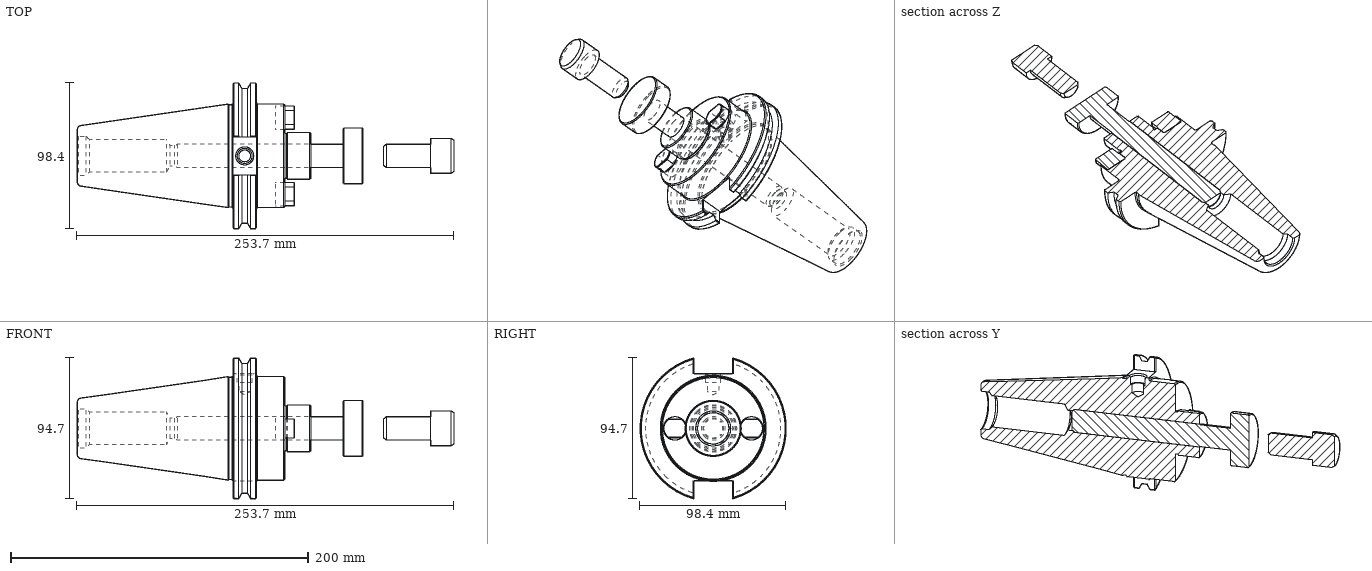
import cadquery as cq
import math


GAUGE_DIAMETER = 69.85
TAPER_RATIO = 7 / 24
TAPER_LENGTH = 101.6
SMALL_END_DIAMETER = GAUGE_DIAMETER - TAPER_LENGTH * TAPER_RATIO
SMALL_END_FILLET = 3.0

NECK_LENGTH = 3.175
NECK_RELIEF = 0.4
FLANGE_FILLET = 0.75

FLANGE_DIAMETER = 98.43
FLANGE_WIDTH = 15.875
FLANGE_START = TAPER_LENGTH + NECK_LENGTH
FLANGE_END = FLANGE_START + FLANGE_WIDTH
FLANGE_MIDDLE = FLANGE_START + FLANGE_WIDTH / 2
FLANGE_CHAMFER = 0.8
GROOVE_DEPTH = 3.7
GROOVE_FLOOR_WIDTH = 3.8
GROOVE_HALF_ANGLE = math.radians(30)
GROOVE_MOUTH_WIDTH = GROOVE_FLOOR_WIDTH + 2 * GROOVE_DEPTH * math.tan(GROOVE_HALF_ANGLE)

SLOT_WIDTH = 25.7
UPPER_SLOT_FLOOR = 36.9
LOWER_SLOT_FLOOR = 35.3
SLOT_CHAMFER = 0.65

SIDE_HOLE_MOUTH_DIAMETER = 12.18
SIDE_HOLE_DIAMETER = 10.13
SIDE_HOLE_DEPTH = 6.0
SIDE_DRILL_DIAMETER = 7.92
SIDE_DRILL_DEPTH = 12.0
DRILL_POINT_HALF_ANGLE = math.radians(59)

NOSE_DIAMETER = GAUGE_DIAMETER
NOSE_FACE = 139.7
NOSE_CHAMFER = 0.75
PILOT_DIAMETER = 31.75
PILOT_LENGTH = 17.46
PILOT_END = NOSE_FACE + PILOT_LENGTH
PILOT_CHAMFER = 0.75
UNDERCUT_DIAMETER = 30.22
UNDERCUT_WIDTH = 1.2

BORE_MOUTH_DIAMETER = 28.2
COUNTERBORE_DIAMETER = 26.36
COUNTERBORE_DEPTH = 6.0
BORE_DIAMETER = 21.97
BORE_DEPTH = 60.0
PASSAGE_DIAMETER = 13.8
PASSAGE_LENGTH = 3.0
PASSAGE_START = BORE_DEPTH + (BORE_DIAMETER - PASSAGE_DIAMETER) / 2 / math.tan(DRILL_POINT_HALF_ANGLE)
LOCK_SCREW_START = PASSAGE_START + PASSAGE_LENGTH

SHANK_DIAMETER = 15.88
TIP_DIAMETER = 12.83
TIP_LENGTH = 2.0

LOCK_HEAD_DIAMETER = 37.8
LOCK_HEAD_START = 178.9
LOCK_HEAD_END = 192.4
LOCK_HEAD_CHAMFER = 0.7

CAP_SCREW_END = 253.67
CAP_HEAD_DIAMETER = 23.62
CAP_HEAD_LENGTH = 15.88
CAP_HEAD_START = CAP_SCREW_END - CAP_HEAD_LENGTH
CAP_SHANK_LENGTH = 31.75
CAP_HEAD_CHAMFER_LENGTH = 2.0
CAP_HEAD_END_DIAMETER = 21.0

KEY_DIAMETER = 15.75
KEY_FLAT_WIDTH = 12.69
KEY_HEIGHT = 6.6
KEY_SEAT_DEPTH = 6.35
KEY_OFFSET = 25.75
KEY_CHAMFER = 0.5


def turned(profile):
    """Revolve a list of (x, radius) points around the X axis."""
    closed = [(profile[0][0], 0), *profile, (profile[-1][0], 0)]
    return cq.Workplane("XY").polyline(closed).close().revolve(360, (0, 0, 0), (1, 0, 0))


def bar(diameter, start, end):
    """Round bar along X."""
    return turned([(start, diameter / 2), (end, diameter / 2)])


def taper_and_neck():
    gauge_radius = GAUGE_DIAMETER / 2
    taper = turned([(0, SMALL_END_DIAMETER / 2), (TAPER_LENGTH, gauge_radius)])
    taper = taper.faces("<X").edges().fillet(SMALL_END_FILLET)
    neck_radius = gauge_radius - NECK_RELIEF
    neck = turned([
        (TAPER_LENGTH, gauge_radius),
        (TAPER_LENGTH + NECK_RELIEF, neck_radius),
        (FLANGE_START - FLANGE_FILLET, neck_radius),
        (FLANGE_START, neck_radius + FLANGE_FILLET),
    ])
    return taper.union(neck)


def flange():
    rim_radius = FLANGE_DIAMETER / 2
    chamfered_radius = rim_radius - FLANGE_CHAMFER
    floor_radius = rim_radius - GROOVE_DEPTH
    return turned([
        (FLANGE_START, chamfered_radius),
        (FLANGE_START + FLANGE_CHAMFER, rim_radius),
        (FLANGE_MIDDLE - GROOVE_MOUTH_WIDTH / 2, rim_radius),
        (FLANGE_MIDDLE - GROOVE_FLOOR_WIDTH / 2, floor_radius),
        (FLANGE_MIDDLE + GROOVE_FLOOR_WIDTH / 2, floor_radius),
        (FLANGE_MIDDLE + GROOVE_MOUTH_WIDTH / 2, rim_radius),
        (FLANGE_END - FLANGE_CHAMFER, rim_radius),
        (FLANGE_END, chamfered_radius),
    ])


def slot_cutter():
    """Cutter for one drive slot, floor at Z = 0, flared at both flange faces."""
    half_width = SLOT_WIDTH / 2
    half_length = FLANGE_WIDTH / 2
    flared = half_width + SLOT_CHAMFER
    outline = [
        (-half_length, flared),
        (SLOT_CHAMFER - half_length, half_width),
        (half_length - SLOT_CHAMFER, half_width),
        (half_length, flared),
        (half_length, -flared),
        (half_length - SLOT_CHAMFER, -half_width),
        (SLOT_CHAMFER - half_length, -half_width),
        (-half_length, -flared),
    ]
    return cq.Workplane("XY").polyline(outline).close().extrude(FLANGE_DIAMETER / 2)


def rim_flare():
    """Cutter that chamfers the upper slot's walls at 45 degrees where they meet the flange rim."""
    half_width = SLOT_WIDTH / 2
    wall_top = math.sqrt((FLANGE_DIAMETER / 2) ** 2 - half_width ** 2)
    wall_edge = wall_top - SLOT_CHAMFER
    flare_height = 2 * SLOT_CHAMFER
    outline = [
        (-half_width, wall_edge),
        (half_width, wall_edge),
        (half_width + flare_height, wall_edge + flare_height),
        (-half_width - flare_height, wall_edge + flare_height),
    ]
    flare = cq.Workplane("YZ").polyline(outline).close().extrude(FLANGE_WIDTH)
    return flare.translate((FLANGE_START, 0, 0))


def drive_slots():
    """Cutters for the two drive slots, above and below the axis."""
    upper = slot_cutter().translate((FLANGE_MIDDLE, 0, UPPER_SLOT_FLOOR))
    lower = slot_cutter().mirror("XY").translate((FLANGE_MIDDLE, 0, -LOWER_SLOT_FLOOR))
    flare = rim_flare()
    return upper.union(lower).union(flare).union(flare.mirror("XY"))


def side_hole():
    """Stepped, countersunk hole with a drill point, going down from the upper slot floor."""
    mouth_radius = SIDE_HOLE_MOUTH_DIAMETER / 2
    hole_radius = SIDE_HOLE_DIAMETER / 2
    drill_radius = SIDE_DRILL_DIAMETER / 2
    countersink_depth = mouth_radius - hole_radius
    point_length = drill_radius / math.tan(DRILL_POINT_HALF_ANGLE)
    profile = [
        (0, 0),
        (mouth_radius, 0),
        (hole_radius, -countersink_depth),
        (hole_radius, -SIDE_HOLE_DEPTH),
        (drill_radius, -SIDE_HOLE_DEPTH),
        (drill_radius, -SIDE_DRILL_DEPTH),
        (0, -SIDE_DRILL_DEPTH - point_length),
    ]
    cutter = cq.Workplane("XZ").polyline(profile).close().revolve(360, (0, 0, 0), (0, 1, 0))
    return cutter.translate((FLANGE_MIDDLE, 0, UPPER_SLOT_FLOOR))


def nose_and_pilot():
    nose_radius = NOSE_DIAMETER / 2
    undercut_radius = UNDERCUT_DIAMETER / 2
    pilot_radius = PILOT_DIAMETER / 2
    pilot_start = NOSE_FACE + UNDERCUT_WIDTH + pilot_radius - undercut_radius
    return turned([
        (FLANGE_END, nose_radius + FLANGE_FILLET),
        (FLANGE_END + FLANGE_FILLET, nose_radius),
        (NOSE_FACE - NOSE_CHAMFER, nose_radius),
        (NOSE_FACE, nose_radius - NOSE_CHAMFER),
        (NOSE_FACE, undercut_radius),
        (NOSE_FACE + UNDERCUT_WIDTH, undercut_radius),
        (pilot_start, pilot_radius),
        (PILOT_END - PILOT_CHAMFER, pilot_radius),
        (PILOT_END, pilot_radius - PILOT_CHAMFER),
    ])


def knob_bore():
    """Stepped bore from the small end, its drill point and a passage leading on to the lock screw."""
    mouth_radius = BORE_MOUTH_DIAMETER / 2
    counterbore_radius = COUNTERBORE_DIAMETER / 2
    bore_radius = BORE_DIAMETER / 2
    return turned([
        (0, mouth_radius),
        (mouth_radius - counterbore_radius, counterbore_radius),
        (COUNTERBORE_DEPTH, counterbore_radius),
        (COUNTERBORE_DEPTH + counterbore_radius - bore_radius, bore_radius),
        (BORE_DEPTH, bore_radius),
        (PASSAGE_START, PASSAGE_DIAMETER / 2),
        (LOCK_SCREW_START, PASSAGE_DIAMETER / 2),
    ])


def shank(start, end):
    """Screw shank with a tapered tip at its start."""
    radius = SHANK_DIAMETER / 2
    return turned([(start, TIP_DIAMETER / 2), (start + TIP_LENGTH, radius), (end, radius)])


def make_lock_screw():
    head = bar(LOCK_HEAD_DIAMETER, LOCK_HEAD_START, LOCK_HEAD_END)
    head = head.faces("<X or >X").edges().chamfer(LOCK_HEAD_CHAMFER)
    return shank(LOCK_SCREW_START, LOCK_HEAD_START).union(head)


def make_cap_screw():
    head_radius = CAP_HEAD_DIAMETER / 2
    head = turned([
        (CAP_HEAD_START, head_radius),
        (CAP_SCREW_END - CAP_HEAD_CHAMFER_LENGTH, head_radius),
        (CAP_SCREW_END, CAP_HEAD_END_DIAMETER / 2),
    ])
    return shank(CAP_HEAD_START - CAP_SHANK_LENGTH, CAP_HEAD_START).union(head)


def make_key(side):
    """Drive key on the +Y (side = 1) or -Y (side = -1) half of the nose face."""
    seat = bar(KEY_DIAMETER, NOSE_FACE - KEY_SEAT_DEPTH, NOSE_FACE)
    exposed = bar(KEY_DIAMETER, NOSE_FACE, NOSE_FACE + KEY_HEIGHT)
    flats = cq.Workplane("XY").box(KEY_HEIGHT, KEY_DIAMETER, KEY_FLAT_WIDTH)
    exposed = exposed.intersect(flats.translate((NOSE_FACE + KEY_HEIGHT / 2, 0, 0)))
    exposed = exposed.faces(">X").edges().chamfer(KEY_CHAMFER)
    return seat.union(exposed).translate((0, side * KEY_OFFSET, 0))


def make_housing(lock_screw, keys):
    """Tool holder, with matching holes for the lock screw and the keys."""
    housing = taper_and_neck().union(flange()).union(nose_and_pilot())
    housing = housing.cut(drive_slots()).cut(side_hole()).cut(knob_bore()).cut(lock_screw)
    for key in keys:
        housing = housing.cut(key)
    return housing


lock_screw = make_lock_screw()
cap_screw = make_cap_screw()
keys = [make_key(side) for side in (1, -1)]
housing = make_housing(lock_screw, keys)

result = cq.Compound.makeCompound([
    housing.val(),
    lock_screw.val(),
    cap_screw.val(),
    *[key.val() for key in keys],
])